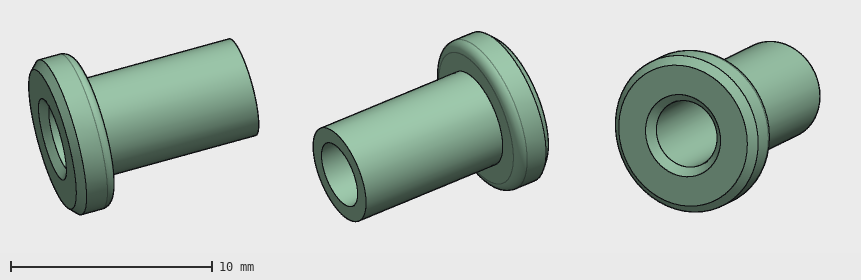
import cadquery as cq

total_length = 10.0
flange_diameter = 8.0
flange_thickness = 2.0
barrel_diameter = 5.0
bore_diameter = 3.4
chamfer_size = 0.4
flange_back_radius = 0.5


def cylinder_along_y(diameter, length):
    """Cylinder from Y = 0 toward +Y."""
    return cq.Workplane("XZ").circle(diameter / 2).extrude(-length)


flange = cylinder_along_y(flange_diameter, flange_thickness)
flange = flange.faces("<Y").edges().chamfer(chamfer_size)
flange = flange.faces(">Y").edges().fillet(flange_back_radius)

body = flange.union(cylinder_along_y(barrel_diameter, total_length))
bored = body.cut(cylinder_along_y(bore_diameter, total_length))
result = bored.faces("<Y").edges("%CIRCLE").edges(cq.selectors.RadiusNthSelector(0)).chamfer(chamfer_size)